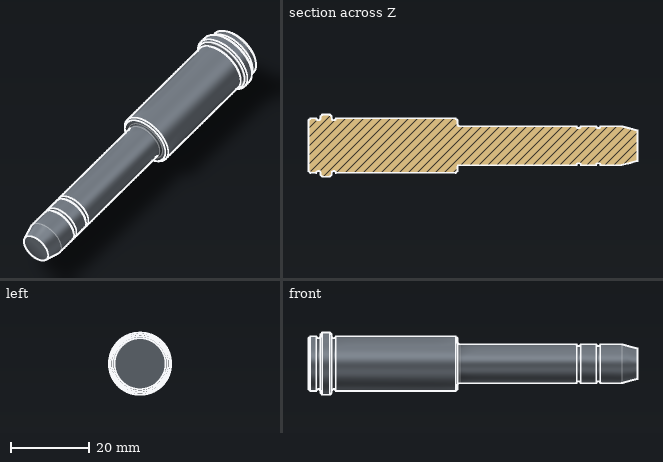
import cadquery as cq
import math

length = 84.0
collar_radius = 16.0 / 2
body_radius = 14.0 / 2
stem_radius = 10.0 / 2

edge_chamfer = 0.5
head_end = 2.0
groove_width = 1.0
groove_radius = groove_width / 2
collar_start = head_end + groove_width
collar_end = 6.0
collar_shoulder_radius = collar_radius - edge_chamfer

body_end = 38.05
fillet_radius = 0.5
fillet_mid_offset = fillet_radius * (1 - math.sqrt(0.5))

groove_starts = [68.5, 73.5]
taper_length = 4.0
taper_angle = math.radians(15)
tip_radius = stem_radius - taper_length * math.tan(taper_angle)


def add_groove(profile, start, surface_radius):
    """Half-round groove cut into a cylinder of the given radius."""
    return (
        profile
        .lineTo(start, surface_radius)
        .threePointArc(
            (start + groove_radius, surface_radius - groove_radius),
            (start + groove_width, surface_radius),
        )
    )


def head_profile(profile):
    """Chamfered head, then the collar with a half-round groove on each side."""
    profile = (
        profile
        .lineTo(0, body_radius - edge_chamfer)
        .lineTo(edge_chamfer, body_radius)
    )
    profile = add_groove(profile, head_end, body_radius)
    profile = (
        profile
        .lineTo(collar_start, collar_shoulder_radius)
        .lineTo(collar_start + edge_chamfer, collar_radius)
        .lineTo(collar_end - edge_chamfer, collar_radius)
        .lineTo(collar_end, collar_shoulder_radius)
    )
    return add_groove(profile, collar_end, body_radius)


def body_profile(profile):
    """Straight body, chamfered at its end and filleted into the stem."""
    return (
        profile
        .lineTo(body_end - edge_chamfer, body_radius)
        .lineTo(body_end, body_radius - edge_chamfer)
        .lineTo(body_end, stem_radius + fillet_radius)
        .threePointArc(
            (body_end + fillet_mid_offset, stem_radius + fillet_mid_offset),
            (body_end + fillet_radius, stem_radius),
        )
    )


def stem_profile(profile):
    """Stem with half-round grooves and a tapered tip."""
    for start in groove_starts:
        profile = add_groove(profile, start, stem_radius)
    return (
        profile
        .lineTo(length - taper_length, stem_radius)
        .lineTo(length, tip_radius)
        .lineTo(length, 0)
    )


half_profile = cq.Workplane("XY").moveTo(0, 0)
half_profile = head_profile(half_profile)
half_profile = body_profile(half_profile)
half_profile = stem_profile(half_profile).close()

result = half_profile.revolve(360, (0, 0, 0), (1, 0, 0))